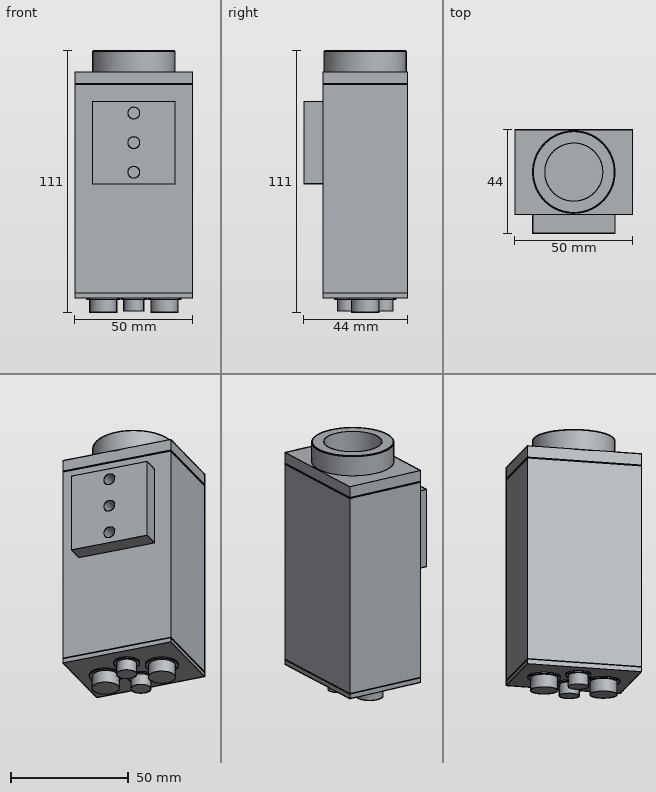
import cadquery as cq

TOTAL_HEIGHT = 111.0
WIDTH = 50.0
TOTAL_DEPTH = 44.0

LARGE_CONNECTOR_LENGTH = 5.5
FLANGE_THICKNESS = 0.5
REAR_PLATE_THICKNESS = 2.1
FRONT_PLATE_THICKNESS = 5.0
LENS_RING_HEIGHT = 9.0
REAR_PLATE_BOTTOM_Z = LARGE_CONNECTOR_LENGTH + FLANGE_THICKNESS
HOUSING_TOP_Z = TOTAL_HEIGHT - LENS_RING_HEIGHT
REAR_SEAM_Z = REAR_PLATE_BOTTOM_Z + REAR_PLATE_THICKNESS
FRONT_SEAM_Z = HOUSING_TOP_Z - FRONT_PLATE_THICKNESS

REAR_SEAM_HEIGHT = 0.1
FRONT_SEAM_HEIGHT = 0.3
SEAM_DEPTH = 0.2

BLOCK_SIZE = 35.0
BLOCK_THICKNESS = 8.0
BLOCK_TOP_GAP = 12.5
MOUNT_HOLE_DIAMETER = 5.0
MOUNT_HOLE_PITCH = 12.5
MOUNT_HOLE_COUNT = 3
HOUSING_DEPTH = TOTAL_DEPTH - BLOCK_THICKNESS
BLOCK_CENTER_Z = HOUSING_TOP_Z - BLOCK_TOP_GAP - BLOCK_SIZE / 2

LENS_RING_DIAMETER = 35.0
LENS_BORE_DIAMETER = 24.6
LENS_BORE_DEPTH = 13.0
LENS_RING_CHAMFER = 0.3

LARGE_CONNECTOR_DIAMETER = 11.5
LARGE_FLANGE_DIAMETER = 14.0
LARGE_CONNECTOR_OFFSET = 13.0
SMALL_CONNECTOR_DIAMETER = 8.5
SMALL_FLANGE_DIAMETER = 11.0
SMALL_CONNECTOR_OFFSET = 7.5
SMALL_CONNECTOR_LENGTH = 5.0


def cylinder(x, y, bottom_z, diameter, height):
    """Upright cylinder standing on bottom_z."""
    return cq.Workplane("XY", origin=(x, y, bottom_z)).circle(diameter / 2).extrude(height)


def slab(bottom_z, height, inset=0.0):
    """Rectangular layer of the housing, optionally shrunk on all four sides."""
    return (
        cq.Workplane("XY", origin=(0, 0, bottom_z))
        .rect(WIDTH - 2 * inset, HOUSING_DEPTH - 2 * inset)
        .extrude(height)
    )


def housing():
    """Full-height box with the two seam grooves cut around it."""
    box = slab(REAR_PLATE_BOTTOM_Z, HOUSING_TOP_Z - REAR_PLATE_BOTTOM_Z)
    seams = (
        (REAR_SEAM_Z, REAR_SEAM_HEIGHT),
        (FRONT_SEAM_Z - FRONT_SEAM_HEIGHT, FRONT_SEAM_HEIGHT),
    )
    for bottom_z, height in seams:
        box = box.cut(slab(bottom_z, height).cut(slab(bottom_z, height, SEAM_DEPTH)))
    return box


def mounting_block():
    """Square block on the -Y face with a vertical row of holes through it."""
    face_y = -HOUSING_DEPTH / 2
    block = (
        cq.Workplane("XZ", origin=(0, face_y, BLOCK_CENTER_Z))
        .rect(BLOCK_SIZE, BLOCK_SIZE)
        .extrude(BLOCK_THICKNESS)
    )
    return (
        block.faces("<Y")
        .workplane(centerOption="CenterOfBoundBox")
        .rarray(1.1, MOUNT_HOLE_PITCH, 1, MOUNT_HOLE_COUNT)
        .hole(MOUNT_HOLE_DIAMETER)
    )


def lens_ring():
    """Round ring on the top face with a chamfered outer rim."""
    ring = cylinder(0, 0, HOUSING_TOP_Z, LENS_RING_DIAMETER, LENS_RING_HEIGHT)
    return ring.faces(">Z").edges().chamfer(LENS_RING_CHAMFER)


def connector(x, y, diameter, length, flange_diameter):
    """Round plug with a thin flange against the rear plate."""
    flange_bottom_z = REAR_PLATE_BOTTOM_Z - FLANGE_THICKNESS
    flange = cylinder(x, y, flange_bottom_z, flange_diameter, FLANGE_THICKNESS)
    return flange.union(cylinder(x, y, flange_bottom_z - length, diameter, length))


result = housing().union(mounting_block()).union(lens_ring())

for side in (-1, 1):
    result = result.union(
        connector(side * LARGE_CONNECTOR_OFFSET, 0, LARGE_CONNECTOR_DIAMETER,
                  LARGE_CONNECTOR_LENGTH, LARGE_FLANGE_DIAMETER)
    )
    result = result.union(
        connector(0, side * SMALL_CONNECTOR_OFFSET, SMALL_CONNECTOR_DIAMETER,
                  SMALL_CONNECTOR_LENGTH, SMALL_FLANGE_DIAMETER)
    )

result = result.cut(
    cylinder(0, 0, TOTAL_HEIGHT - LENS_BORE_DEPTH, LENS_BORE_DIAMETER, LENS_BORE_DEPTH)
)